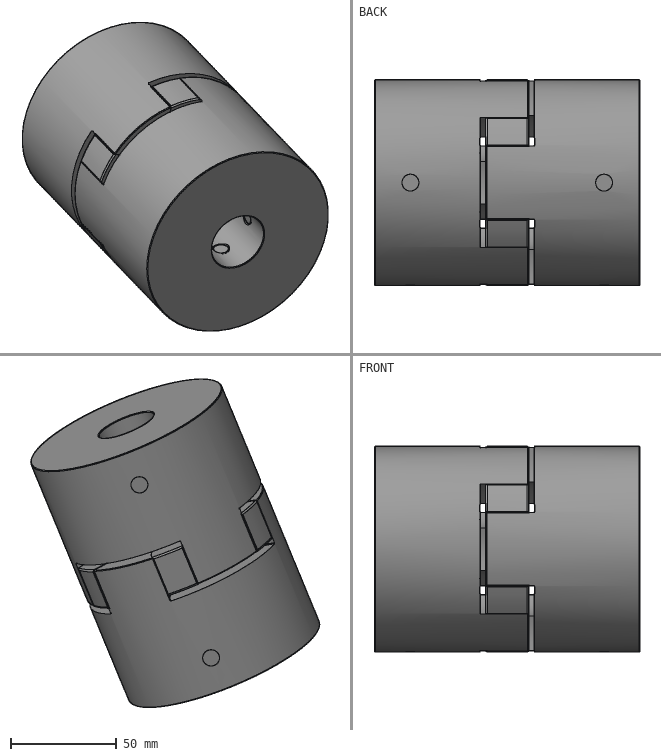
import cadquery as cq
import math


outer_radius = 49.0
bore_radius = 14.0
hub_length = 50.0
hub_gap = 26.0
edge_chamfer = 0.4
blank_margin = 2.0

jaws_per_hub = 3
jaw_clearance = 3.0
jaw_inner_radius = 32.5
jaw_root_chamfer = 0.4

spider_width = 20.5
spider_bore_radius = 23.0
tip_chamfer_radial = 0.5
tip_chamfer_axial = 0.9
tip_chamfer_side = 0.5

tooth_half_width = 8.25
crown_radius = 42.4
flank_arc_radius = 36.0

screw_radius = 4.0
screw_tip_chamfer = 0.5
screw_from_end = 17.0
screw_directions = [(0, 1, 0), (0, 0, -1)]

hub_face = hub_gap / 2
hub_end = hub_face + hub_length
screw_x = hub_end - screw_from_end
screw_outer_end = math.sqrt(outer_radius**2 - screw_radius**2)
jaw_tip = hub_gap / 2 - jaw_clearance
blank_radius = outer_radius + blank_margin
jaw_blank_radius = outer_radius + blank_margin / 2
jaw_pitch = 360.0 / jaws_per_hub
tooth_count = 2 * jaws_per_hub
tooth_pitch = 360.0 / tooth_count
flank_arc_centre = tooth_half_width - flank_arc_radius


def flank_at(radius, gap=0.0):
    """Point (along, across) where a flank, set back by a gap, meets a circle about the coupling axis."""
    arc_radius = flank_arc_radius - gap
    centre_distance = math.hypot(crown_radius, flank_arc_centre)
    centre_angle = math.atan2(flank_arc_centre, crown_radius)
    cosine = (radius**2 + centre_distance**2 - arc_radius**2) / (2 * radius * centre_distance)
    angle = centre_angle + math.acos(cosine)
    return radius * math.cos(angle), radius * math.sin(angle)


def mirrored(point):
    return point[0], -point[1]


def turned(point, degrees):
    angle = math.radians(degrees)
    y = point[0] * math.cos(angle) - point[1] * math.sin(angle)
    z = point[0] * math.sin(angle) + point[1] * math.cos(angle)
    return y, z


def about_axis(body, degrees):
    return body.rotate((0, 0, 0), (1, 0, 0), degrees)


def disc(x_start, length, radius):
    return cq.Workplane("YZ", origin=(x_start, 0, 0)).circle(radius).extrude(length)


def jaw_outline(x, growth=0.0):
    """Unturned outline of the jaw centred on +Y; growth moves its flanks and inner wall outwards."""
    inner_radius = jaw_inner_radius - growth
    neighbour_flank = [
        flank_at(inner_radius, growth),
        (crown_radius, tooth_half_width - growth),
        flank_at(jaw_blank_radius, growth),
    ]
    inner, crown, outer = [turned(point, -tooth_pitch / 2) for point in neighbour_flank]
    return (
        cq.Workplane("YZ", origin=(x, 0, 0))
        .moveTo(*inner)
        .threePointArc(crown, outer)
        .threePointArc((jaw_blank_radius, 0), mirrored(outer))
        .threePointArc(mirrored(crown), mirrored(inner))
        .threePointArc((inner_radius, 0), inner)
        .close()
    )


def make_jaw():
    """Jaw of the -X hub, with a 45 degree flare at its root that runs on into the hub."""
    flare_depth = 2 * jaw_root_chamfer
    flare_base_x = -hub_face - jaw_root_chamfer
    flare_base = jaw_outline(flare_base_x, flare_depth).val()
    flare_top = jaw_outline(flare_base_x + flare_depth).val()
    flare = cq.Solid.makeLoft([flare_base, flare_top], True)
    jaw = jaw_outline(flare_base_x).extrude(jaw_tip - flare_base_x)
    return jaw.union(cq.Workplane(flare))


def make_hub():
    """Hub at the -X end, with one jaw centred on +Y, turned to size and bored."""
    hub = disc(-hub_end, hub_length, blank_radius)
    for index in range(jaws_per_hub):
        hub = hub.union(about_axis(make_jaw(), index * jaw_pitch))
    turned_envelope = disc(-hub_end, hub_end + jaw_tip, outer_radius).edges().chamfer(edge_chamfer)
    hub = hub.intersect(turned_envelope)
    hub = hub.cut(disc(-hub_end, hub_length, bore_radius))
    return hub.faces("<X").edges(cq.selectors.RadiusNthSelector(0)).chamfer(edge_chamfer)


def screw_plane(side, direction, radius):
    """Plane across a set screw at a distance from the coupling axis, facing outwards."""
    origin = (side * screw_x, radius * direction[1], radius * direction[2])
    return cq.Plane(origin=origin, xDir=(1, 0, 0), normal=direction)


def make_screw_hole(side, direction):
    return cq.Workplane(screw_plane(side, direction, 0)).circle(screw_radius).extrude(outer_radius)


def make_screw(side, direction):
    """Set screw that reaches from the bore to the outside of the hub."""
    length = screw_outer_end - bore_radius
    screw = cq.Workplane(screw_plane(side, direction, bore_radius)).circle(screw_radius).extrude(length)
    inward = cq.Vector(*direction).multiply(-1)
    tip = screw.faces(cq.selectors.DirectionMinMaxSelector(inward))
    return tip.chamfer(screw_tip_chamfer)


def make_tooth():
    """Crowned spider tooth along +Y, tapering to the coupling axis at its inner end."""
    flank_inner = flank_at(jaw_inner_radius)
    flank_crown = (crown_radius, tooth_half_width)
    flank_outer = flank_at(outer_radius)
    tooth = (
        cq.Workplane("YZ", origin=(-spider_width / 2, 0, 0))
        .lineTo(*mirrored(flank_inner))
        .threePointArc(mirrored(flank_crown), mirrored(flank_outer))
        .threePointArc((outer_radius, 0), flank_outer)
        .threePointArc(flank_crown, flank_inner)
        .close()
        .extrude(spider_width)
    )
    return tooth.faces(">Y").edges("|X").chamfer(tip_chamfer_side)


def make_spider_envelope():
    """Turned ring that bounds the spider and chamfers the tooth tips at both end faces."""
    half_width = spider_width / 2
    return (
        cq.Workplane("XY")
        .moveTo(-half_width, spider_bore_radius)
        .lineTo(-half_width, outer_radius - tip_chamfer_radial)
        .lineTo(-half_width + tip_chamfer_axial, outer_radius)
        .lineTo(half_width - tip_chamfer_axial, outer_radius)
        .lineTo(half_width, outer_radius - tip_chamfer_radial)
        .lineTo(half_width, spider_bore_radius)
        .close()
        .revolve(360, (0, 0, 0), (1, 0, 0))
    )


def make_spider():
    """Elastic ring whose six teeth fill the spaces between the jaws."""
    spider = disc(-spider_width / 2, spider_width, jaw_inner_radius)
    for index in range(tooth_count):
        spider = spider.union(about_axis(make_tooth(), (index + 0.5) * tooth_pitch))
    return spider.intersect(make_spider_envelope())


left_hub = make_hub()
right_hub = make_hub().rotate((0, 0, 0), (0, 0, 1), 180)
spider = make_spider()

screws = []
for direction in screw_directions:
    left_hub = left_hub.cut(make_screw_hole(-1, direction))
    right_hub = right_hub.cut(make_screw_hole(1, direction))
    screws.append(make_screw(-1, direction))
    screws.append(make_screw(1, direction))

bodies = [left_hub, right_hub, spider, *screws]
result = cq.Compound.makeCompound([body.val() for body in bodies])